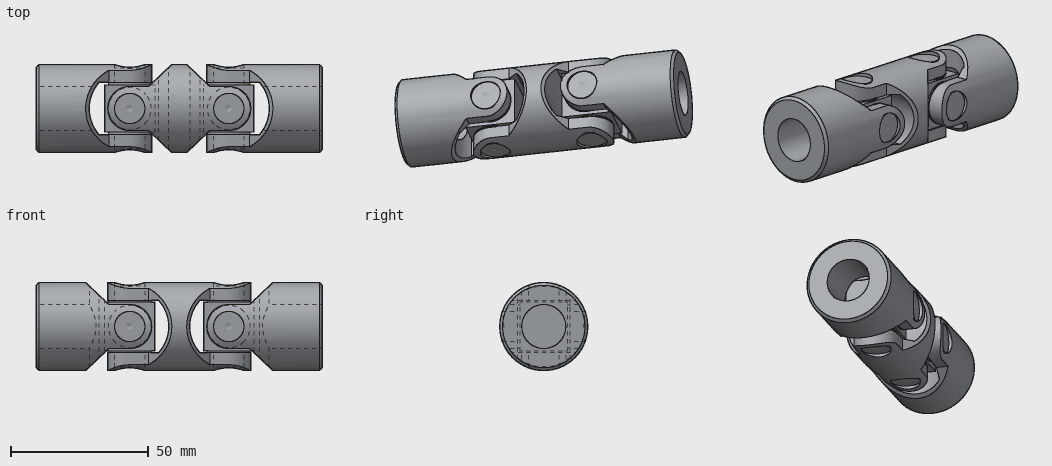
import cadquery as cq
import math

total_length = 104.0
body_diameter = 32.0
body_radius = body_diameter / 2
joint_offset = 18.0
end_length = total_length / 2 - joint_offset

ear_width = 16.0
ear_radius = ear_width / 2
ear_gap = 18.9
end_shoulder = 7.6
middle_shoulder = 6.9
shoulder_run = 8.4
end_slot_radius = 14.7
middle_slot_radius = 14.1
end_chamfer = 1.0
shaft_bore_diameter = 16.0

pin_diameter = 11.0
boss_diameter = 15.5
block_length = 18.2
block_width = 17.2
block_height = 17.8
pin_span = 29.5
dimple_diameter = 2.6
dimple_depth = 0.3


def fork(length, shoulder, slot_radius):
    """Fork with its joint centre at the origin, its pin axis along Z and its hub toward +X."""
    barrel = (
        cq.Workplane("YZ")
        .workplane(offset=-ear_radius)
        .circle(body_radius)
        .extrude(ear_radius + length)
    )

    shoulder_end = shoulder + shoulder_run
    outline = (
        cq.Workplane("XY")
        .moveTo(0, ear_radius)
        .threePointArc((-ear_radius, 0), (0, -ear_radius))
        .lineTo(shoulder, -ear_radius)
        .lineTo(shoulder_end, -body_radius)
        .lineTo(length, -body_radius)
        .lineTo(length, body_radius)
        .lineTo(shoulder_end, body_radius)
        .lineTo(shoulder, ear_radius)
        .close()
        .extrude(body_radius, both=True)
    )

    half_gap = ear_gap / 2
    floor_start = math.sqrt(slot_radius**2 - half_gap**2)
    slot = (
        cq.Workplane("XZ")
        .moveTo(-body_radius, -half_gap)
        .lineTo(floor_start, -half_gap)
        .threePointArc((slot_radius, 0), (floor_start, half_gap))
        .lineTo(-body_radius, half_gap)
        .close()
        .extrude(body_radius, both=True)
    )

    pin_hole = cq.Workplane("XY").circle(pin_diameter / 2).extrude(body_radius, both=True)
    return barrel.intersect(outline).cut(slot).cut(pin_hole)


def turned_about_z(shape):
    return shape.rotate((0, 0, 0), (0, 0, 1), 180)


def make_end_yoke():
    """End yoke on the +X side: pin axis along Y, shaft bore open into the slot."""
    yoke = fork(end_length, end_shoulder, end_slot_radius)
    yoke = yoke.faces(">X").edges().chamfer(end_chamfer)
    shaft_bore = cq.Workplane("YZ").circle(shaft_bore_diameter / 2).extrude(end_length)
    return yoke.cut(shaft_bore).rotate((0, 0, 0), (1, 0, 0), 90).translate((joint_offset, 0, 0))


def make_middle_yoke():
    """Two forks back to back, both with pin axes along Z."""
    left_half = fork(joint_offset, middle_shoulder, middle_slot_radius).translate((-joint_offset, 0, 0))
    return left_half.union(turned_about_z(left_half)).clean()


def boss_pair(plane):
    return cq.Workplane(plane).circle(boss_diameter / 2).extrude(ear_gap / 2, both=True)


def pin_pair(plane):
    """Two opposite pins with a conical dimple in each tip."""
    pins = cq.Workplane(plane).circle(pin_diameter / 2).extrude(pin_span / 2, both=True)
    axis = pins.plane.zDir
    for direction in (axis, -axis):
        tip_centre = direction * (pin_span / 2)
        dimple = cq.Solid.makeCone(dimple_diameter / 2, 0, dimple_depth, tip_centre, -direction)
        pins = pins.cut(cq.Workplane(dimple))
    return pins


def make_cross():
    """Cross with its centre at the origin and pins along Y and Z."""
    return (
        cq.Workplane("XY")
        .box(block_length, block_width, block_height)
        .union(boss_pair("XZ"))
        .union(boss_pair("XY"))
        .union(pin_pair("XZ"))
        .union(pin_pair("XY"))
    )


right_yoke = make_end_yoke()
end_yokes = [turned_about_z(right_yoke), right_yoke]
middle_yoke = make_middle_yoke()
crosses = [make_cross().translate((side * joint_offset, 0, 0)) for side in (-1, 1)]

result = cq.Compound.makeCompound(
    [body.val() for body in (*end_yokes, middle_yoke, *crosses)]
)